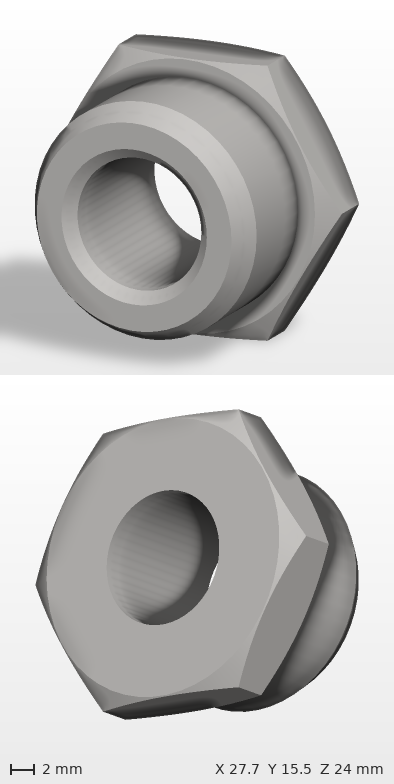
import cadquery as cq
import math

corner_diameter = 27.7
head_length = 5.51
head_face_diameter = 23.8
head_chamfer_angle = 30.0

total_length = 15.5
shank_diameter = 20.67
shank_tip_diameter = 18.12
shank_chamfer_length = 2.15

bore_diameter = 11.53
mouth_diameter = 13.52
mouth_depth = 1.0

shank_length = total_length - head_length


def revolve_about_y(profile):
    """Turn a closed outline of (radius, y) points around the Y axis."""
    return cq.Workplane("XY").polyline(profile).close().revolve(360, (0, 0, 0), (0, 1, 0))


def make_head():
    """Hexagon with two corners on X, its corners chamfered conically at both ends."""
    hexagon = cq.Workplane("XZ").polygon(6, corner_diameter).extrude(-head_length)
    corner_radius = corner_diameter / 2
    face_radius = head_face_diameter / 2
    chamfer_length = (corner_radius - face_radius) * math.tan(math.radians(head_chamfer_angle))
    envelope = revolve_about_y([
        (0, 0),
        (face_radius, 0),
        (corner_radius, chamfer_length),
        (corner_radius, head_length - chamfer_length),
        (face_radius, head_length),
        (0, head_length),
    ])
    return hexagon.intersect(envelope)


def make_shank():
    """Cylinder with a tapered tip."""
    return revolve_about_y([
        (0, 0),
        (shank_diameter / 2, 0),
        (shank_diameter / 2, shank_chamfer_length - shank_length),
        (shank_tip_diameter / 2, -shank_length),
        (0, -shank_length),
    ])


def make_bore():
    """Through hole that widens towards the shank tip."""
    return revolve_about_y([
        (0, -shank_length),
        (mouth_diameter / 2, -shank_length),
        (bore_diameter / 2, mouth_depth - shank_length),
        (bore_diameter / 2, head_length),
        (0, head_length),
    ])


result = make_head().union(make_shank()).cut(make_bore())